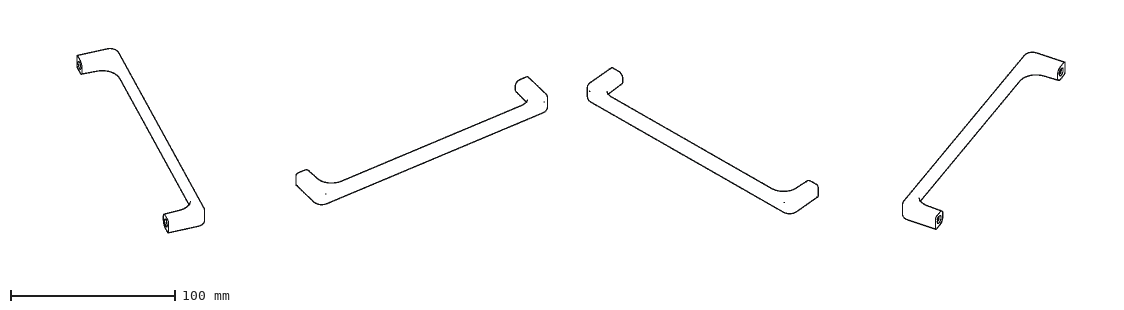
import cadquery as cq
import math

length = 170.0
height = 25.0
thickness = 10.0

leg_width = 10.0
bar_depth = 5.1
outer_corner_radius = 6.0
inner_bend_radius = 9.9

grip_crown_radius = 12.0
foot_inner_rounding = 3.7
leg_top_inner_rounding = 2.7
bar_inner_rounding = 0.8
leg_outer_rounding = 1.9
bar_outer_rounding = 1.2

inner_strip_depth = 3.9
outer_strip_depth = 2.5
strip_overlap = 0.03

turn_steps = 6

hole_spacing = 160.0
hole_diameter = 3.2
hole_depth = 10.0
drill_tip_angle = 118.0
countersink_diameter = 5.0
countersink_depth = 0.8

half_length = length / 2
half_thickness = thickness / 2
inner_wall_x = -half_length + leg_width
bar_inner_y = height - bar_depth
bend_center = (inner_wall_x + inner_bend_radius, bar_inner_y - inner_bend_radius)
corner_center = (-half_length + outer_corner_radius, height - outer_corner_radius)


def inner_section(plane, rounding):
    """Grip-side section: a crowned face blended tangentially into the flat top and bottom."""
    center_z = half_thickness - rounding
    center_reach = grip_crown_radius - rounding
    edge = grip_crown_radius - math.sqrt(center_reach**2 - center_z**2)
    tilt = math.asin(center_z / center_reach)
    crown_edge = (grip_crown_radius * (1 - math.cos(tilt)), grip_crown_radius * math.sin(tilt))
    middle = (tilt + math.pi / 2) / 2
    blend_middle = (edge - rounding * math.cos(middle), center_z + rounding * math.sin(middle))
    return (
        cq.Workplane(plane)
        .moveTo(inner_strip_depth, half_thickness)
        .lineTo(edge, half_thickness)
        .threePointArc(blend_middle, crown_edge)
        .threePointArc((0, 0), (crown_edge[0], -crown_edge[1]))
        .threePointArc((blend_middle[0], -blend_middle[1]), (edge, -half_thickness))
        .lineTo(inner_strip_depth, -half_thickness)
        .close()
        .val()
    )


def outer_section(plane, rounding):
    """Outer-side section: a flat face with quarter-round edges."""
    flat = half_thickness - rounding
    diagonal = rounding * (1 - math.sqrt(0.5))
    return (
        cq.Workplane(plane)
        .moveTo(outer_strip_depth, half_thickness)
        .lineTo(rounding, half_thickness)
        .threePointArc((diagonal, half_thickness - diagonal), (0, flat))
        .lineTo(0, -flat)
        .threePointArc((diagonal, diagonal - half_thickness), (rounding, -half_thickness))
        .lineTo(outer_strip_depth, -half_thickness)
        .close()
        .val()
    )


def strip(section, center, radius, inward_sign, foot_rounding, leg_top_rounding, bar_rounding):
    """Left half of a rounded strip: leg, quarter turn and bar.

    inward_sign tells whether the material lies away from (1) or toward (-1) the turn center.
    """
    center_x, center_y = center

    def turn_section(step):
        progress = step / turn_steps
        angle = progress * math.pi / 2
        outward = cq.Vector(-math.cos(angle), math.sin(angle), 0)
        along = cq.Vector(math.sin(angle), math.cos(angle), 0)
        origin = cq.Vector(center_x, center_y, 0) + outward * radius
        rounding = leg_top_rounding + (bar_rounding - leg_top_rounding) * progress
        return section(cq.Plane(origin, outward * inward_sign, along), rounding)

    foot_plane = cq.Plane((center_x - radius, 0, 0), (-inward_sign, 0, 0), (0, 1, 0))
    middle_plane = cq.Plane((0, center_y + radius, 0), (0, inward_sign, 0), (1, 0, 0))
    foot = section(foot_plane, foot_rounding)
    turn = [turn_section(step) for step in range(turn_steps + 1)]
    bar_middle = section(middle_plane, bar_rounding)
    return [
        cq.Solid.makeLoft([foot, turn[0]], True),
        cq.Solid.makeLoft(turn),
        cq.Solid.makeLoft([turn[-1], bar_middle], True),
    ]


inner_strip = strip(
    inner_section, bend_center, inner_bend_radius, 1,
    foot_inner_rounding, leg_top_inner_rounding, bar_inner_rounding,
)
outer_strip = strip(
    outer_section, corner_center, outer_corner_radius, -1,
    leg_outer_rounding, leg_outer_rounding, bar_outer_rounding,
)


def core():
    """Square-edged left leg and corner that fills the space between the two strips."""
    outer_inset = outer_strip_depth - strip_overlap
    bend_radius = inner_bend_radius + inner_strip_depth - strip_overlap
    bend_x, bend_y = bend_center
    corner_x, corner_y = corner_center
    left = -half_length + outer_inset
    right = bend_x - bend_radius
    back = height - outer_inset
    corner_offset = (outer_corner_radius - outer_inset) * math.sqrt(0.5)
    end_angle = math.asin((back - bend_y) / bend_radius)
    end_x = bend_x - bend_radius * math.cos(end_angle)
    bend_middle = (
        bend_x - bend_radius * math.cos(end_angle / 2),
        bend_y + bend_radius * math.sin(end_angle / 2),
    )
    return (
        cq.Workplane("XY", origin=(0, 0, -half_thickness))
        .moveTo(left, 0)
        .lineTo(left, corner_y)
        .threePointArc((corner_x - corner_offset, corner_y + corner_offset), (corner_x, back))
        .lineTo(end_x, back)
        .threePointArc(bend_middle, (right, bend_y))
        .lineTo(right, 0)
        .close()
        .extrude(thickness)
    )


def screw_hole():
    """Blind pilot hole with a countersunk mouth and a drill-point end."""
    hole_radius = hole_diameter / 2
    tip_length = hole_radius / math.tan(math.radians(drill_tip_angle / 2))
    return (
        cq.Workplane("XY")
        .polyline([
            (0, 0),
            (countersink_diameter / 2, 0),
            (hole_radius, countersink_depth),
            (hole_radius, hole_depth),
            (0, hole_depth + tip_length),
        ])
        .close()
        .revolve(360, (0, 0, 0), (0, 1, 0))
    )


half = core()
for piece in inner_strip + outer_strip:
    half = half.union(cq.Workplane(piece))
half = half.cut(screw_hole().translate((-hole_spacing / 2, 0, 0)))

handle = half.union(half.mirror("YZ")).clean()
result = cq.Workplane(handle.solids().val())